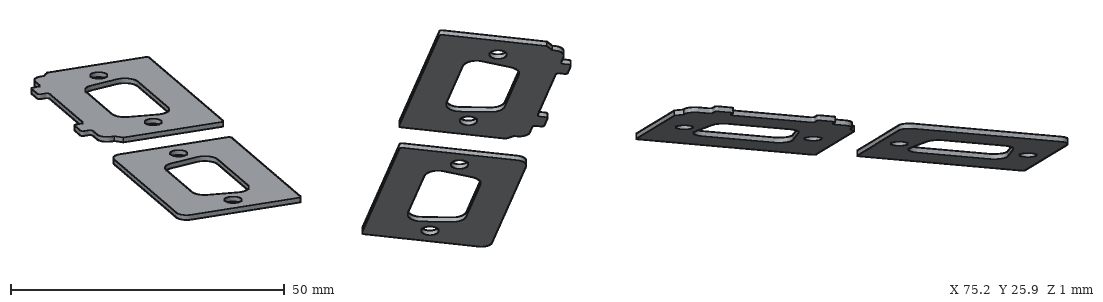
import cadquery as cq
import math

overall_length = 75.25
thickness = 1.0
top_corner_radius = 0.5

screw_spacing = 25.1
screw_diameter = 3.15
opening_mid_width = 18.1
opening_height = 10.7
opening_side_angle = 10.5
opening_corner_radius = 2.55

tabbed_width = 35.1
tabbed_depth = 25.9
tabbed_connector_y = 13.9
tab_length = 2.0
tab_width = 3.6
tab_spacing = 19.95
tab_tip_radius = 0.5
tab_root_radius = 0.5
shoulder_inset = 1.3
shoulder_y = 5.9
tabbed_lower_radius = 2.0

plain_width = 32.8
plain_depth = 24.0
plain_connector_y = 12.05
plain_lower_radius = 2.0

tabbed_center_x = tabbed_width / 2
plain_center_x = overall_length - plain_width / 2


def fillet_upright_edges(plate, points, radius):
    """Round the upright edges standing at the given outline points."""
    for x, y in points:
        selector = cq.selectors.NearestToPointSelector((x, y, thickness / 2))
        plate = plate.edges("|Z").edges(selector).fillet(radius)
    return plate


def mirrored(x, y):
    """Return a point and its mirror image about the plate's center line."""
    return [(-x, y), (x, y)]


def connector_cutter(center_y):
    """Tapered opening with rounded corners, flanked by two screw holes."""
    taper = opening_height / 2 * math.tan(math.radians(opening_side_angle))
    top_half = opening_mid_width / 2 + taper
    bottom_half = opening_mid_width / 2 - taper
    top_y = center_y + opening_height / 2
    bottom_y = center_y - opening_height / 2
    opening = (
        cq.Workplane("XY")
        .polyline([(-bottom_half, bottom_y), (bottom_half, bottom_y), (top_half, top_y), (-top_half, top_y)])
        .close()
        .extrude(thickness)
        .edges("|Z")
        .fillet(opening_corner_radius)
    )
    screw_holes = (
        cq.Workplane("XY")
        .pushPoints(mirrored(screw_spacing / 2, center_y))
        .circle(screw_diameter / 2)
        .extrude(thickness)
    )
    return opening.union(screw_holes)


def make_tabbed_plate():
    """Plate with inset lower shoulders and two tabs on its front edge."""
    half_width = tabbed_width / 2
    lower_half = half_width - shoulder_inset
    tab_outer = (tab_spacing + tab_width) / 2
    tab_inner = (tab_spacing - tab_width) / 2
    right_outline = [
        (tab_inner, tab_length),
        (tab_inner, 0),
        (tab_outer, 0),
        (tab_outer, tab_length),
        (lower_half, tab_length),
        (lower_half, shoulder_y - shoulder_inset),
        (half_width, shoulder_y),
        (half_width, tabbed_depth),
    ]
    left_outline = [(-x, y) for x, y in reversed(right_outline)]
    plate = cq.Workplane("XY").polyline(right_outline + left_outline).close().extrude(thickness)

    tab_tips = mirrored(tab_inner, 0) + mirrored(tab_outer, 0)
    tab_roots = mirrored(tab_inner, tab_length) + mirrored(tab_outer, tab_length)
    plate = fillet_upright_edges(plate, mirrored(half_width, tabbed_depth), top_corner_radius)
    plate = fillet_upright_edges(plate, mirrored(lower_half, tab_length), tabbed_lower_radius)
    plate = fillet_upright_edges(plate, tab_tips, tab_tip_radius)
    plate = fillet_upright_edges(plate, tab_roots, tab_root_radius)
    return plate.cut(connector_cutter(tabbed_connector_y))


def make_plain_plate():
    """Rectangular plate with larger radii on its front corners."""
    plate = cq.Workplane("XY").rect(plain_width, plain_depth).extrude(thickness)
    plate = plate.translate((0, plain_depth / 2, 0))
    plate = fillet_upright_edges(plate, mirrored(plain_width / 2, plain_depth), top_corner_radius)
    plate = fillet_upright_edges(plate, mirrored(plain_width / 2, 0), plain_lower_radius)
    return plate.cut(connector_cutter(plain_connector_y))


tabbed_plate = make_tabbed_plate().translate((tabbed_center_x, 0, 0))
plain_plate = make_plain_plate().translate((plain_center_x, 0, 0))

result = cq.Compound.makeCompound([tabbed_plate.val(), plain_plate.val()])